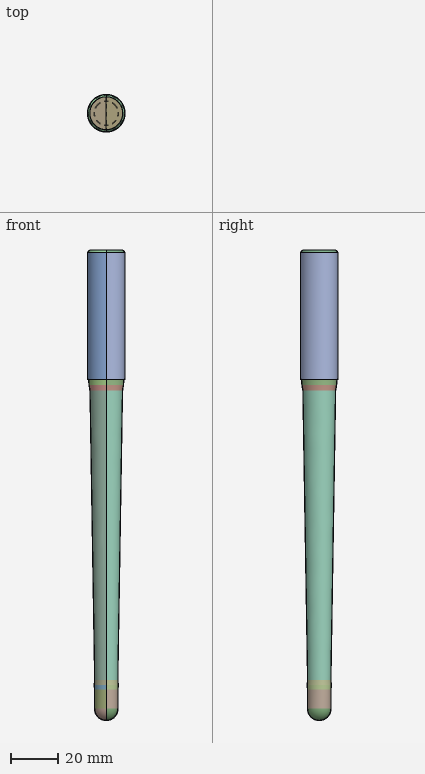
import cadquery as cq
import math

length = 200.0
handle_radius = 8.0
top_chamfer = 1.0

handle_bottom = 145.0
collar_bottom = 142.5
taper_top = 140.2
taper_bottom = 17.2
ridge_height = 15.0
tip_shoulder = 13.0

collar_top_radius = 7.5
collar_radius = 7.5
taper_top_radius = 7.0
taper_bottom_radius = 5.0
ridge_radius = 5.2
tip_radius = 5.0


def full_stick():
    """Whole round stick, revolved about Z from its half outline, with a hemispherical tip."""
    arc_mid = tip_radius * math.sqrt(0.5)
    outline = (
        cq.Workplane("XZ")
        .moveTo(0, 0)
        .threePointArc((arc_mid, tip_radius - arc_mid), (tip_radius, tip_radius))
        .lineTo(tip_radius, tip_shoulder)
        .lineTo(ridge_radius, ridge_height)
        .lineTo(taper_bottom_radius, taper_bottom)
        .lineTo(taper_top_radius, taper_top)
        .lineTo(collar_radius, collar_bottom)
        .lineTo(collar_top_radius, handle_bottom)
        .lineTo(handle_radius, handle_bottom)
        .lineTo(handle_radius, length - top_chamfer)
        .lineTo(handle_radius - top_chamfer, length)
        .lineTo(0, length)
        .close()
    )
    return outline.revolve(360, (0, 0, 0), (0, 1, 0))


def half_stick(side):
    """Half of the stick on one side of the X = 0 plane; side is -1 for -X or 1 for +X."""
    half_space = (
        cq.Workplane("XY")
        .box(handle_radius, 2 * handle_radius, length, centered=(True, True, False))
        .translate((side * handle_radius / 2, 0, 0))
    )
    return full_stick().intersect(half_space)


half_sticks = [half_stick(side).val() for side in (-1, 1)]

result = cq.Compound.makeCompound([solid for half in half_sticks for solid in half.Solids()])